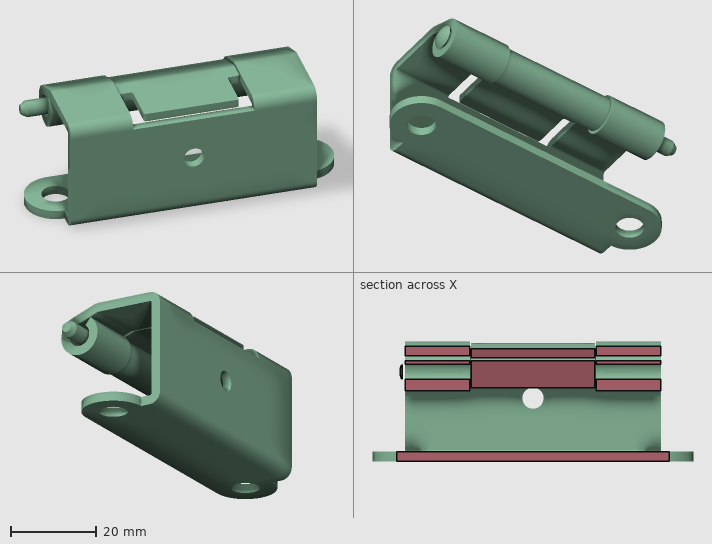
import cadquery as cq
import math


FRAME_SHEET = 2.25
FRAME_BARREL_RADIUS = 4.95
FRAME_TOP = 7.05
FRAME_BOTTOM = -20.9
WALL_OUTER_X = 22.0
WALL_INNER_X = WALL_OUTER_X - FRAME_SHEET
FRAME_LENGTH = 60.0
CORNER_INNER_RADIUS = 0.5
CORNER_OUTER_RADIUS = CORNER_INNER_RADIUS + FRAME_SHEET
NOTCH_LENGTH = 29.55
NOTCH_FLOOR = FRAME_TOP - CORNER_OUTER_RADIUS

PLATE_WIDTH = 15.0
PLATE_CENTER_X = 9.3
PLATE_LENGTH = FRAME_LENGTH + PLATE_WIDTH
MOUNT_HOLE_DIAMETER = 6.75
WALL_HOLE_DIAMETER = 4.95
WALL_HOLE_Z = -6.15

SLOPE_ANGLE = 20.8
CURL_END_ANGLE = 52.0
BEND_INNER_RADIUS = 1.5

LEAF_SHEET = 2.0
LEAF_BARREL_RADIUS = 4.35
LEAF_TOP = 6.75
LEAF_LENGTH = 29.1
LEAF_END_X = 20.0
TAB_LENGTH = 23.1
SHOULDER_X = 10.1
SHOULDER_RADIUS = 0.75
TAB_CORNER_RADIUS = 0.5

PIN_DIAMETER = 4.0
PIN_RADIUS = PIN_DIAMETER / 2
PIN_TIP_RADIUS = 1.1
PIN_TIP_LENGTH = 1.4
PIN_OVERHANG = 6.0
HEAD_RADIUS = 2.9
HEAD_GAP = 0.5
HEAD_HEIGHT = 1.2


def polar(radius, angle):
    """Point in the XZ plane at an angle in degrees from +X."""
    return (radius * math.cos(math.radians(angle)), radius * math.sin(math.radians(angle)))


def block(x_min, x_max, length, z_min, z_max):
    """Box centred along Y."""
    center = ((x_min + x_max) / 2, 0, (z_min + z_max) / 2)
    return cq.Workplane("XY").box(x_max - x_min, length, z_max - z_min).translate(center)


def curled_strip(barrel_radius, sheet, top, end_x, length):
    """Flat roof that bends down a slope and curls around the pin axis."""
    bore_radius = barrel_radius - sheet
    bend_outer_radius = BEND_INNER_RADIUS + sheet
    tangent_angle = 90 + SLOPE_ANGLE
    arc_middle_angle = (CURL_END_ANGLE + tangent_angle - 360) / 2

    bend_z = top - bend_outer_radius
    slope_inset = barrel_radius - bend_outer_radius
    slope = math.radians(SLOPE_ANGLE)
    bend_x = (bend_z * math.cos(slope) - slope_inset) / math.sin(slope)

    def bend_point(radius, angle):
        x, z = polar(radius, angle)
        return (bend_x + x, bend_z + z)

    bend_middle_angle = 90 + SLOPE_ANGLE / 2
    return (
        cq.Workplane("XZ")
        .moveTo(*polar(bore_radius, CURL_END_ANGLE))
        .lineTo(*polar(barrel_radius, CURL_END_ANGLE))
        .threePointArc(polar(barrel_radius, arc_middle_angle), polar(barrel_radius, tangent_angle))
        .lineTo(*bend_point(bend_outer_radius, tangent_angle))
        .threePointArc(bend_point(bend_outer_radius, bend_middle_angle), (bend_x, top))
        .lineTo(end_x, top)
        .lineTo(end_x, top - sheet)
        .lineTo(bend_x, top - sheet)
        .threePointArc(
            bend_point(BEND_INNER_RADIUS, bend_middle_angle),
            bend_point(BEND_INNER_RADIUS, tangent_angle),
        )
        .lineTo(*polar(bore_radius, tangent_angle))
        .threePointArc(polar(bore_radius, arc_middle_angle), polar(bore_radius, CURL_END_ANGLE))
        .close()
        .extrude(length / 2, both=True)
    )


def make_channel():
    """Roof edge, wall and plate edge with rounded bends, open toward -X."""
    outer = block(PLATE_CENTER_X, WALL_OUTER_X, FRAME_LENGTH, FRAME_BOTTOM, FRAME_TOP)
    outer = outer.edges("|Y and >X").fillet(CORNER_OUTER_RADIUS)
    inner = block(
        PLATE_CENTER_X, WALL_INNER_X, FRAME_LENGTH, FRAME_BOTTOM + FRAME_SHEET, FRAME_TOP - FRAME_SHEET
    )
    inner = inner.edges("|Y and >X").fillet(CORNER_INNER_RADIUS)
    return outer.cut(inner)


def make_frame():
    """Bent frame with two knuckles, a leaf notch and mounting holes."""
    frame = curled_strip(FRAME_BARREL_RADIUS, FRAME_SHEET, FRAME_TOP, PLATE_CENTER_X, FRAME_LENGTH)
    frame = frame.union(make_channel())

    plate_plane = cq.Workplane("XY", origin=(PLATE_CENTER_X, 0, FRAME_BOTTOM))
    plate = plate_plane.slot2D(PLATE_LENGTH, PLATE_WIDTH, 90).extrude(FRAME_SHEET)
    frame = frame.union(plate)

    hole_centers = [(0, -FRAME_LENGTH / 2), (0, FRAME_LENGTH / 2)]
    mount_holes = plate_plane.pushPoints(hole_centers).circle(MOUNT_HOLE_DIAMETER / 2).extrude(FRAME_SHEET)
    wall_hole = (
        cq.Workplane("YZ", origin=(WALL_INNER_X, 0, WALL_HOLE_Z))
        .circle(WALL_HOLE_DIAMETER / 2)
        .extrude(FRAME_SHEET)
    )

    roof_notch = block(-FRAME_BARREL_RADIUS, WALL_OUTER_X, NOTCH_LENGTH, NOTCH_FLOOR, FRAME_TOP)
    barrel_notch = block(
        -FRAME_BARREL_RADIUS, FRAME_BARREL_RADIUS, NOTCH_LENGTH, -FRAME_BARREL_RADIUS, FRAME_TOP
    )
    return frame.cut(mount_holes).cut(wall_hole).cut(roof_notch).cut(barrel_notch)


def trim_leaf_tab(leaf):
    """Narrow the flat end of the leaf to a tab with rounded shoulders."""
    leaf_bottom = LEAF_TOP - LEAF_SHEET
    body = block(-LEAF_BARREL_RADIUS, SHOULDER_X, LEAF_LENGTH, -LEAF_BARREL_RADIUS, LEAF_TOP)
    body = body.edges("|Z and >X").fillet(SHOULDER_RADIUS)
    tab = block(0, LEAF_END_X, TAB_LENGTH, leaf_bottom, LEAF_TOP)
    tab = tab.edges("|Z and >X").fillet(TAB_CORNER_RADIUS)
    outline = body.union(tab)
    inner_corners = cq.selectors.BoxSelector(
        (SHOULDER_X - TAB_CORNER_RADIUS, -LEAF_LENGTH, leaf_bottom),
        (SHOULDER_X + TAB_CORNER_RADIUS, LEAF_LENGTH, LEAF_TOP),
    )
    outline = outline.edges("|Z").edges(inner_corners).fillet(TAB_CORNER_RADIUS)
    return leaf.intersect(outline)


def make_pin_shape():
    """Turned pin with a thicker middle that fills the leaf barrel and a domed head."""
    middle_radius = LEAF_BARREL_RADIUS - LEAF_SHEET
    tip_y = -FRAME_LENGTH / 2 - PIN_OVERHANG
    head_y = FRAME_LENGTH / 2 + HEAD_GAP
    dome_radius = (HEAD_RADIUS**2 + HEAD_HEIGHT**2) / (2 * HEAD_HEIGHT)
    dome_center_y = head_y + HEAD_HEIGHT - dome_radius
    half_angle = math.asin(HEAD_RADIUS / dome_radius) / 2
    dome_middle = (
        dome_radius * math.sin(half_angle),
        dome_center_y + dome_radius * math.cos(half_angle),
    )
    return (
        cq.Workplane("XY")
        .moveTo(0, tip_y)
        .lineTo(PIN_TIP_RADIUS, tip_y)
        .lineTo(PIN_RADIUS, tip_y + PIN_TIP_LENGTH)
        .lineTo(PIN_RADIUS, -LEAF_LENGTH / 2)
        .lineTo(middle_radius, -LEAF_LENGTH / 2)
        .lineTo(middle_radius, LEAF_LENGTH / 2)
        .lineTo(PIN_RADIUS, LEAF_LENGTH / 2)
        .lineTo(PIN_RADIUS, head_y)
        .lineTo(HEAD_RADIUS, head_y)
        .threePointArc(dome_middle, (0, head_y + HEAD_HEIGHT))
        .close()
        .revolve(360, (0, 0, 0), (0, 1, 0))
    )


def make_leaf_with_pin():
    """Swinging leaf, curled around and fixed to its pin."""
    leaf = curled_strip(LEAF_BARREL_RADIUS, LEAF_SHEET, LEAF_TOP, LEAF_END_X, LEAF_LENGTH)
    return trim_leaf_tab(leaf).union(make_pin_shape())


frame = make_frame()
leaf_with_pin = make_leaf_with_pin()
result = cq.Compound.makeCompound([frame.val(), leaf_with_pin.val()])